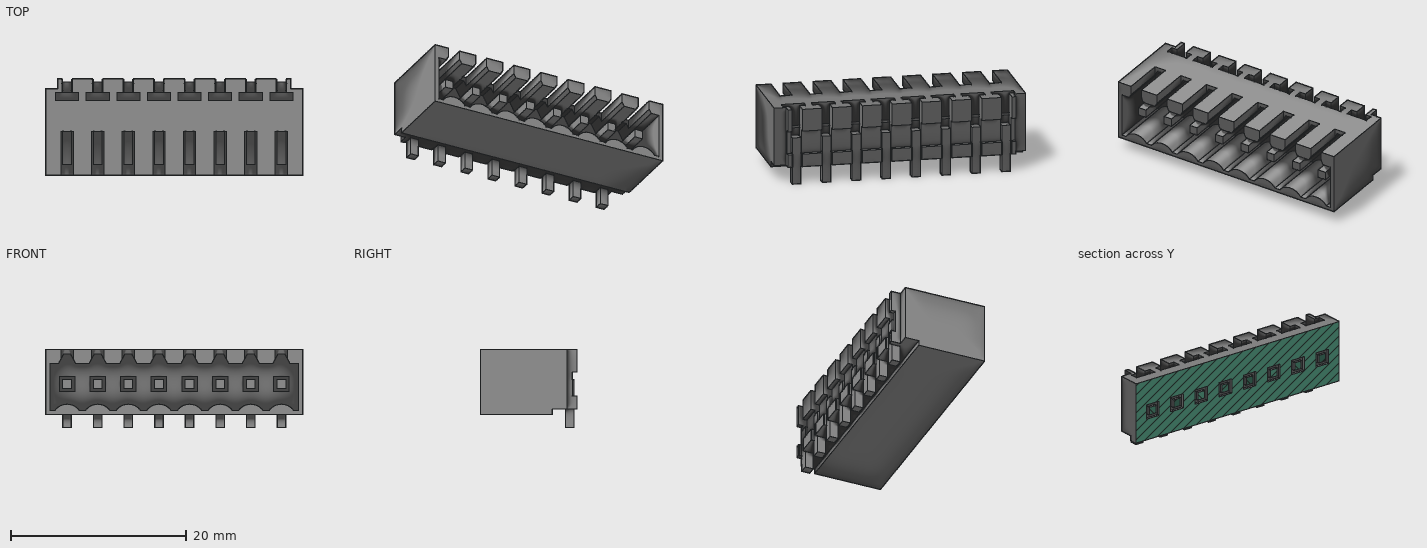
import cadquery as cq


PIN_COUNT = 8
PITCH = 3.5
PIN_XS = [(i - (PIN_COUNT - 1) / 2) * PITCH for i in range(PIN_COUNT)]

LENGTH = 29.4
DEPTH = 11.05
HEIGHT = 7.45
REAR_LUG_DEPTH = 1.15
REAR_LUG_SPAN = 26.65
REAR_FACE_Y = DEPTH - REAR_LUG_DEPTH

RELIEF_DEPTH = 2.82
RELIEF_HEIGHT = 0.62

NOTCH_DEPTH = 0.53
NOTCH_TOP_Z = HEIGHT - 2.6
NOTCH_BOTTOM_Z = HEIGHT - 5.32

SIDE_WALL = 0.5
FLOOR_Z = 0.45
CAVITY_DEPTH = 7.0
CAVITY_TOP_Z = HEIGHT - 1.6
HUMP_WIDTH = 2.82
HUMP_HEIGHT = 0.74
GROOVE_TOP_Z = HEIGHT - 0.53
GROOVE_TOP_WIDTH = 0.8
GROOVE_BASE_WIDTH = 1.95

ROOF_SLOT_WIDTH = 1.4
ROOF_SLOT_LENGTH = 5.03

POCKET_WIDTH = 1.75
POCKET_HEIGHT = 1.7
POCKET_DEPTH = 0.5

CHANNEL_WIDTH = 1.2
CHANNEL_DEPTH = 1.55
MOUTH_DEPTH = 0.12

LATCH_WIDTH = 2.65
LATCH_THICKNESS = 0.95

PIN_WIDTH = 1.0
PIN_THICKNESS = 1.0
PIN_TOP_Z = HEIGHT - 3.45
PIN_CENTRE_Z = PIN_TOP_Z - PIN_THICKNESS / 2
PIN_FRONT_Y = 1.23
PIN_REAR_Y = DEPTH - 0.35
LEG_DROP = 1.5


def block(width, y_front, y_rear, z_bottom, z_top, x_centre=0.0):
    """A box centred on x_centre that spans the given Y and Z ranges."""
    size_y = y_rear - y_front
    size_z = z_top - z_bottom
    box = cq.Workplane("XY").box(width, size_y, size_z, centered=(True, False, False))
    return box.translate((x_centre, y_front, z_bottom))


def make_shell():
    """Solid envelope with the rear lug bar, the groove across it and the relief below."""
    shell = block(LENGTH, 0, REAR_FACE_Y, 0, HEIGHT)
    shell = shell.union(block(REAR_LUG_SPAN, REAR_FACE_Y, DEPTH, 0, HEIGHT))
    shell = shell.cut(block(LENGTH, DEPTH - NOTCH_DEPTH, DEPTH, NOTCH_BOTTOM_Z, NOTCH_TOP_Z))
    return shell.cut(block(LENGTH, DEPTH - RELIEF_DEPTH, DEPTH, 0, RELIEF_HEIGHT))


def make_hump(x):
    """Rounded rib along the cavity floor below one pin."""
    outline = (
        cq.Workplane("XZ")
        .moveTo(x - HUMP_WIDTH / 2, FLOOR_Z)
        .threePointArc((x, FLOOR_Z + HUMP_HEIGHT), (x + HUMP_WIDTH / 2, FLOOR_Z))
        .close()
    )
    return outline.extrude(-CAVITY_DEPTH)


def make_groove(x):
    """Tapered keying groove in the cavity roof above one pin."""
    outline = cq.Workplane("XZ").polyline([
        (x - GROOVE_BASE_WIDTH / 2, CAVITY_TOP_Z),
        (x - GROOVE_TOP_WIDTH / 2, GROOVE_TOP_Z),
        (x + GROOVE_TOP_WIDTH / 2, GROOVE_TOP_Z),
        (x + GROOVE_BASE_WIDTH / 2, CAVITY_TOP_Z),
    ]).close()
    return outline.extrude(-CAVITY_DEPTH)


def make_cavity():
    """Space for the plug: a box less the floor humps plus the roof grooves."""
    cavity = block(LENGTH - 2 * SIDE_WALL, 0, CAVITY_DEPTH, FLOOR_Z, CAVITY_TOP_Z)
    for x in PIN_XS:
        cavity = cavity.cut(make_hump(x)).union(make_groove(x))
    return cavity


def cut_position(housing, x):
    """Cut the openings that belong to one pin position."""
    roof_slot = block(ROOF_SLOT_WIDTH, 0, ROOF_SLOT_LENGTH, CAVITY_TOP_Z, HEIGHT, x)
    pocket = block(
        POCKET_WIDTH,
        CAVITY_DEPTH,
        CAVITY_DEPTH + POCKET_DEPTH,
        PIN_CENTRE_Z - POCKET_HEIGHT / 2,
        PIN_CENTRE_Z + POCKET_HEIGHT / 2,
        x,
    )
    channel_front_y = DEPTH - CHANNEL_DEPTH
    channel = block(CHANNEL_WIDTH, channel_front_y, DEPTH, NOTCH_BOTTOM_Z, HEIGHT, x)
    leg_slot = block(PIN_WIDTH, PIN_REAR_Y - PIN_THICKNESS, DEPTH, 0, NOTCH_BOTTOM_Z, x)
    leg_slot_mouth = block(CHANNEL_WIDTH, DEPTH - MOUTH_DEPTH, DEPTH, 0, NOTCH_BOTTOM_Z, x)
    latch_front_y = channel_front_y - LATCH_THICKNESS
    latch_pocket = block(LATCH_WIDTH, latch_front_y, channel_front_y, NOTCH_TOP_Z, HEIGHT, x)
    openings = [roof_slot, pocket, channel, leg_slot, leg_slot_mouth, latch_pocket]
    for opening in openings:
        housing = housing.cut(opening)
    return housing


def make_pin(x):
    """Right-angle pin: a bar reaching into the cavity and a leg down behind the housing."""
    bar = block(PIN_WIDTH, PIN_FRONT_Y, PIN_REAR_Y, PIN_TOP_Z - PIN_THICKNESS, PIN_TOP_Z, x)
    leg = block(PIN_WIDTH, PIN_REAR_Y - PIN_THICKNESS, PIN_REAR_Y, -LEG_DROP, PIN_TOP_Z, x)
    return bar.union(leg)


def make_housing(pins):
    """Housing with every opening, and a matching hole for each pin."""
    housing = make_shell().cut(make_cavity())
    for x in PIN_XS:
        housing = cut_position(housing, x)
    for pin in pins:
        housing = housing.cut(pin)
    return housing


pins = [make_pin(x) for x in PIN_XS]
housing = make_housing(pins)

result = cq.Compound.makeCompound([housing.val(), *[pin.val() for pin in pins]])